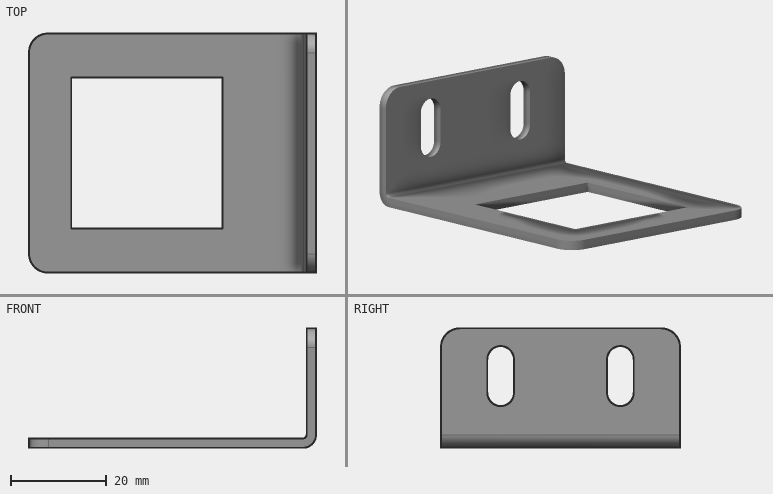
import cadquery as cq

length = 60.0
width = 50.0
height = 25.0
thickness = 2.0

inner_bend_radius = .74
outer_bend_radius = inner_bend_radius + thickness
corner_radius = 4.0

window_size = 31.5
window_edge_distance = 8.9

slot_width = 5.5
slot_length = 12.5
slot_spacing = 25.0
slot_center_height = 15.0

wall_inner_x = length - thickness


def bent_sheet():
    """L-shaped sheet with concentric inner and outer bend radii."""
    profile = (
        cq.Workplane("XZ")
        .polyline([(0, 0), (length, 0), (length, height), (wall_inner_x, height),
                   (wall_inner_x, thickness), (0, thickness)])
        .close()
    )
    sheet = profile.extrude(width / 2, both=True)
    outer_edge = cq.selectors.NearestToPointSelector((length, 0, 0))
    inner_edge = cq.selectors.NearestToPointSelector((wall_inner_x, 0, thickness))
    sheet = sheet.edges("|Y").edges(outer_edge).fillet(outer_bend_radius)
    return sheet.edges("|Y").edges(inner_edge).fillet(inner_bend_radius)


def round_free_corners(sheet):
    """Round the two free corners of the base and the two of the wall."""
    sheet = sheet.faces("<X").edges("|Z").fillet(corner_radius)
    return sheet.faces(">Z").edges("|X").fillet(corner_radius)


def window_cutter():
    """Square prism through the base plate."""
    return (
        cq.Workplane("XY")
        .center(window_edge_distance + window_size / 2, 0)
        .rect(window_size, window_size)
        .extrude(thickness)
    )


def slot_cutter():
    """Pair of vertical round-ended slots through the wall."""
    return (
        cq.Workplane("YZ", origin=(wall_inner_x, 0, slot_center_height))
        .pushPoints([(-slot_spacing / 2, 0), (slot_spacing / 2, 0)])
        .slot2D(slot_length, slot_width, angle=90)
        .extrude(thickness)
    )


result = round_free_corners(bent_sheet()).cut(window_cutter()).cut(slot_cutter())